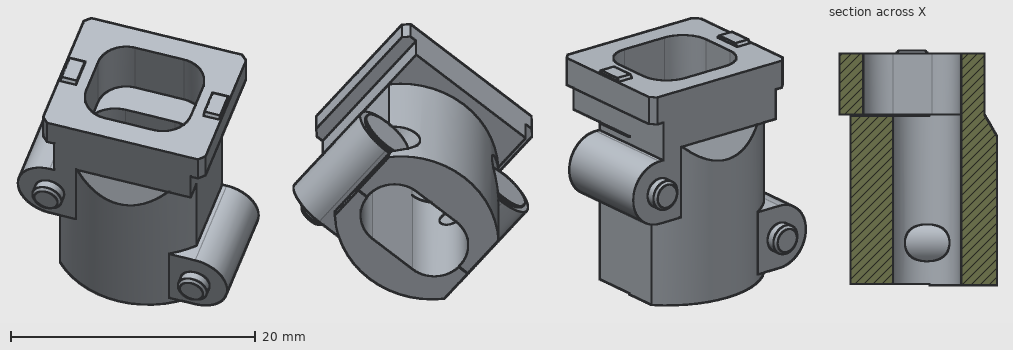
import cadquery as cq
import math


total_height = 19.23
total_width = 18.0

key_height = 0.25
flange_top = total_height - key_height
flange_height = 2.38
flange_width = 13.96
flange_chamfer = 0.5
head_depth = 11.88
head_bottom = 13.98

sleeve_width = 11.73
sleeve_depth = 12.0
sleeve_radius = 8.0
front_overhang = 1.02
split_y = 4.52
half_clearance = 0.1
slope_angle = 30.0

wall_front = 1.92
cavity_width = 9.0
cavity_depth = 8.0
cavity_corner_radius = 2.4
bore_width = 9.83
bore_depth = 5.55

lug_radius = 2.75
lug_depth = 8.48
lug_inner_x = 4.0
lug_x = total_width / 2 - lug_radius
left_lug_z = 10.52
right_lug_z = 3.48
barrel_radius = 2.02
collar_radius = 2.25
collar_length = 0.2
head_clearance_radius = 2.4

pin_diameter = 2.5
pin_chamfer = 0.25

key_width = 1.35
key_length = 2.63
key_offset = 6.15

lug_positions = [(-1, left_lug_z), (1, right_lug_z)]


def block(x0, x1, y0, y1, z0, z1):
    """Box between two opposite corners."""
    return cq.Workplane("XY").box(x1 - x0, y1 - y0, z1 - z0, centered=False).translate((x0, y0, z0))


def rod(side, z, radius, y0, y1):
    """Cylinder along Y on the screw axis of one lug."""
    return cq.Workplane("XZ", origin=(side * lug_x, y0, z)).circle(radius).extrude(y0 - y1)


def make_head():
    """Head block carrying the chamfered flange."""
    flange_bottom = flange_top - flange_height
    neck = block(-sleeve_width / 2, sleeve_width / 2, 0, head_depth, head_bottom, flange_bottom)
    flange = block(-flange_width / 2, flange_width / 2, 0, head_depth, flange_bottom, flange_top)
    return neck.union(flange.edges("|Z").chamfer(flange_chamfer))


def make_key(side):
    """Low key with bevelled front and back ends."""
    return (
        cq.Workplane("YZ", origin=(side * key_offset - key_width / 2, head_depth / 2, flange_top))
        .moveTo(-key_length / 2, 0)
        .lineTo(key_length / 2, 0)
        .lineTo(key_length / 2 - key_height, key_height)
        .lineTo(-key_length / 2 + key_height, key_height)
        .close()
        .extrude(key_width)
    )


def make_sleeve():
    """Solid sleeve; the back half is shorter at both ends by the clearance."""
    half_width = sleeve_width / 2
    bulge = sleeve_radius - math.sqrt(sleeve_radius**2 - half_width**2)
    front_y = -front_overhang
    back_y = front_y + sleeve_depth
    sleeve = (
        cq.Workplane("XY")
        .moveTo(-half_width, front_y + bulge)
        .threePointArc((0, front_y), (half_width, front_y + bulge))
        .lineTo(half_width, back_y - bulge)
        .threePointArc((0, back_y), (-half_width, back_y - bulge))
        .close()
        .extrude(head_bottom)
    )
    for z in (0, head_bottom - half_clearance):
        sleeve = sleeve.cut(block(-half_width, half_width, split_y, back_y, z, z + half_clearance))

    slope_drop = front_overhang / math.tan(math.radians(slope_angle))
    slope = (
        cq.Workplane("YZ", origin=(-half_width, 0, 0))
        .moveTo(0, head_bottom)
        .lineTo(front_y, head_bottom)
        .lineTo(front_y, head_bottom - slope_drop)
        .close()
        .extrude(sleeve_width)
    )
    return sleeve.cut(slope)


def make_lug(side, z):
    """Half-round lug whose straight tail runs into the sleeve."""
    return (
        cq.Workplane("XZ")
        .moveTo(side * lug_inner_x, z - lug_radius)
        .lineTo(side * lug_x, z - lug_radius)
        .threePointArc((side * (lug_x + lug_radius), z), (side * lug_x, z + lug_radius))
        .lineTo(side * lug_inner_x, z + lug_radius)
        .close()
        .extrude(-lug_depth)
    )


def make_pin(side, z):
    """Screw tip standing out of the lug's front face."""
    pin = rod(side, z, pin_diameter / 2, -front_overhang, 0)
    return pin.faces("<Y").chamfer(pin_chamfer)


def make_cavity():
    """Rounded rectangular opening through the head, down to the back half's top."""
    floor_z = head_bottom - half_clearance
    cavity = block(
        -cavity_width / 2, cavity_width / 2, wall_front, wall_front + cavity_depth, floor_z, flange_top
    )
    return cavity.edges("|Z").fillet(cavity_corner_radius)


def make_bore():
    """Slot with round ends through the sleeve."""
    return (
        cq.Workplane("XY", origin=(0, wall_front + bore_depth / 2, 0))
        .slot2D(bore_width, bore_depth)
        .extrude(head_bottom)
    )


result = make_sleeve().union(make_head())
for side, z in lug_positions:
    result = result.union(make_lug(side, z))

web = block(-sleeve_width / 2, -lug_inner_x, 0, split_y, left_lug_z, head_bottom)
result = result.union(web)

result = result.cut(make_cavity()).cut(make_bore())

for side, z in lug_positions:
    result = result.cut(rod(side, z, head_clearance_radius, lug_depth, sleeve_depth))
    result = result.union(rod(side, z, collar_radius, lug_depth, lug_depth + collar_length))
    result = result.union(rod(side, z, barrel_radius, 0, lug_depth))
    result = result.union(make_pin(side, z))

for side in (-1, 1):
    result = result.union(make_key(side))